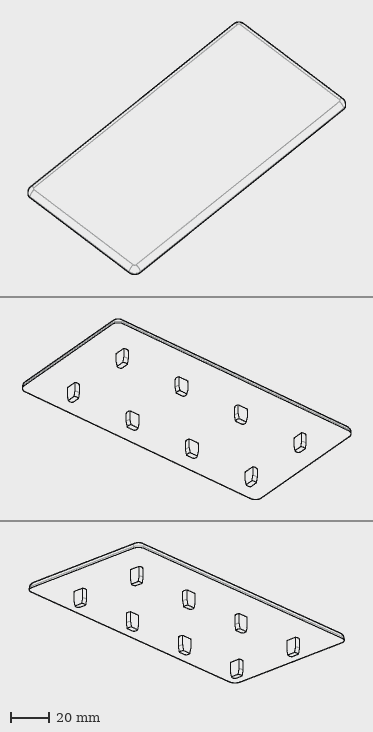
import cadquery as cq

plate_width = 80.0
plate_length = 160.0
plate_thickness = 4.0
corner_radius = 4.0
top_edge_radius = 3.0

total_height = 12.5
tab_height = total_height - plate_thickness
tab_width = 6.9
tab_tip_width = 5.6
tab_thickness = 3.0
tab_taper_height = 3.0

tab_x = plate_width / 4
inner_tab_y = plate_length / 8
outer_tab_y = 3 * plate_length / 8


def make_plate():
    """Flat plate with its underside at Z = 0 and rounded corners and top rim."""
    plate = cq.Workplane("XY").box(
        plate_width, plate_length, plate_thickness, centered=(True, True, False)
    )
    plate = plate.edges("|Z").fillet(corner_radius)
    return plate.faces(">Z").edges().fillet(top_edge_radius)


def make_tab():
    """Round peg hanging from Z = 0 with a conical tip, cut by two flats that leave it wide along X."""
    radius = tab_width / 2
    half_profile = [
        (0, 0),
        (radius, 0),
        (radius, tab_taper_height - tab_height),
        (tab_tip_width / 2, -tab_height),
        (0, -tab_height),
    ]
    peg = cq.Workplane("XZ").polyline(half_profile).close().revolve(360, (0, 0, 0), (0, 1, 0))
    between_flats = cq.Workplane("XY").box(tab_width, tab_thickness, 2 * tab_height)
    return peg.intersect(between_flats)


end_tab = make_tab()
side_tab = end_tab.rotate((0, 0, 0), (0, 0, 1), 90)

result = make_plate()
for x in (-tab_x, tab_x):
    for y in (-outer_tab_y, outer_tab_y):
        result = result.union(end_tab.translate((x, y, 0)))
    for y in (-inner_tab_y, inner_tab_y):
        result = result.union(side_tab.translate((x, y, 0)))